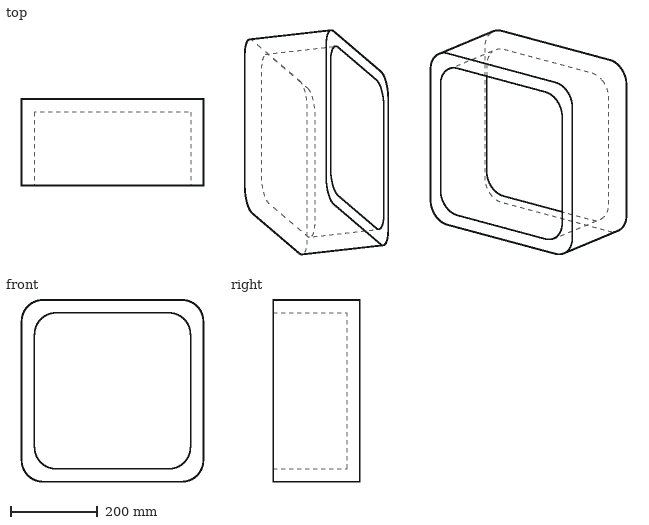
import cadquery as cq

outer_side = 420.0
box_depth = 200.0
wall_thickness = 30.0
back_thickness = 30.0
corner_radius = 50.0

inner_side = outer_side - 2 * wall_thickness
cavity_depth = box_depth - back_thickness


def rounded_square_block(side, depth):
    """Square block with rounded corners, front face at Y = 0, extending toward +Y."""
    block = cq.Workplane("XZ").rect(side, side).extrude(-depth)
    return block.edges("|Y").fillet(corner_radius)


body = rounded_square_block(outer_side, box_depth)
cavity = rounded_square_block(inner_side, cavity_depth)
result = body.cut(cavity)